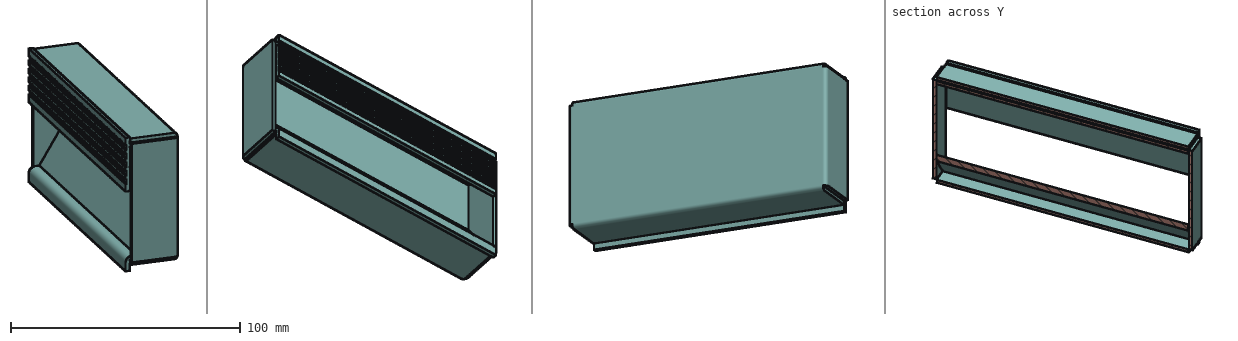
import cadquery as cq
import math

LENGTH = 124.1
DEPTH = 24.2
HEIGHT = 62.0

TRAY_SHEET = 1.9
TRAY_HEIGHT = 58.8
TRAY_BOTTOM = 2.7

COVER_SHEET = 2.0
COVER_LENGTH = 120.1
PLATE_HEIGHT = 25.0
LIP_RADIUS = 3.0
SLOPE_START = 5.0
SLOPE_END = 19.4
SLOPE_TOP = 30.0

PLATE_GAP = 0.2
FLANGE_GAP = 0.4

GROOVE_COUNT = 5
GROOVE_WIDTH = 2.0
GROOVE_DEPTH = 0.5
GROOVE_PITCH = 2 * GROOVE_WIDTH

tray_top = TRAY_BOTTOM + TRAY_HEIGHT
tray_front = COVER_SHEET + PLATE_GAP
cavity_bottom = TRAY_BOTTOM + TRAY_SHEET
cavity_top = tray_top - TRAY_SHEET
floor_bottom = cavity_bottom + FLANGE_GAP
floor_top = floor_bottom + COVER_SHEET
roof_top = cavity_top - FLANGE_GAP
roof_bottom = roof_top - COVER_SHEET
plate_bottom = HEIGHT - PLATE_HEIGHT


def box(x_size, y_min, y_max, z_min, z_max):
    """Box centred on X between the given Y and Z limits."""
    block = cq.Workplane("XY").box(x_size, y_max - y_min, z_max - z_min, centered=(True, False, False))
    return block.translate((0, y_min, z_min))


def make_tray():
    outside = box(LENGTH, tray_front, DEPTH, TRAY_BOTTOM, tray_top)
    outside = outside.faces(">Y").edges().fillet(TRAY_SHEET)
    inside = box(LENGTH - 2 * TRAY_SHEET, tray_front, DEPTH - TRAY_SHEET, cavity_bottom, cavity_top)
    tray = outside.cut(inside)

    notch_x = (LENGTH - TRAY_SHEET) / 2
    for x in (-notch_x, notch_x):
        for z in (TRAY_BOTTOM, cavity_top):
            notch = box(TRAY_SHEET, tray_front, DEPTH, z, z + TRAY_SHEET)
            tray = tray.cut(notch.translate((x, 0, 0)))
    return tray


def make_cover():
    wall_back = SLOPE_END + COVER_SHEET
    slope_angle = math.atan2(SLOPE_TOP - floor_top, SLOPE_END - SLOPE_START)
    floor_shift = COVER_SHEET * math.tan(slope_angle / 2)
    wall_shift = COVER_SHEET * math.tan((math.pi / 2 - slope_angle) / 2)
    arc_inset = LIP_RADIUS * (1 - math.sqrt(0.5))
    profile = (
        cq.Workplane("YZ")
        .moveTo(0, 0)
        .lineTo(COVER_SHEET, 0)
        .lineTo(COVER_SHEET, floor_bottom)
        .lineTo(SLOPE_START + floor_shift, floor_bottom)
        .lineTo(wall_back, SLOPE_TOP - wall_shift)
        .lineTo(wall_back, roof_top)
        .lineTo(COVER_SHEET, roof_top)
        .lineTo(COVER_SHEET, HEIGHT)
        .lineTo(0, HEIGHT)
        .lineTo(0, plate_bottom)
        .lineTo(COVER_SHEET, plate_bottom)
        .lineTo(COVER_SHEET, roof_bottom)
        .lineTo(SLOPE_END, roof_bottom)
        .lineTo(SLOPE_END, SLOPE_TOP)
        .lineTo(SLOPE_START, floor_top)
        .lineTo(LIP_RADIUS, floor_top)
        .threePointArc((arc_inset, floor_top - arc_inset), (0, floor_top - LIP_RADIUS))
        .close()
    )
    cover = profile.extrude(COVER_LENGTH / 2, both=True)

    plate_middle = plate_bottom + PLATE_HEIGHT / 2
    for i in range(GROOVE_COUNT):
        middle = plate_middle + (i - (GROOVE_COUNT - 1) / 2) * GROOVE_PITCH
        z_min = middle - GROOVE_WIDTH / 2
        cover = cover.cut(box(COVER_LENGTH, 0, GROOVE_DEPTH, z_min, z_min + GROOVE_WIDTH))
    return cover


tray = make_tray()
cover = make_cover()
result = cq.Compound.makeCompound([tray.val(), cover.val()])